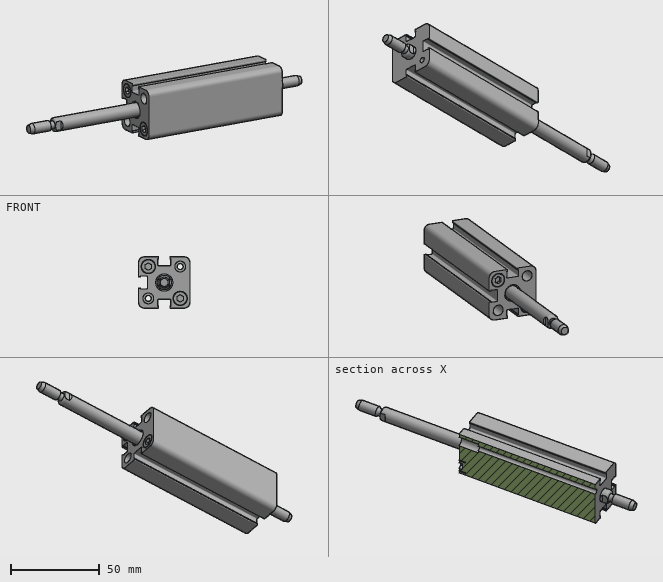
import cadquery as cq
import math

TOTAL_LENGTH = 179.0
BODY_LENGTH = 88.0
STUD_LENGTH = 16.0
REAR_ROD_LENGTH = 4.5
FRONT_ROD_LENGTH = TOTAL_LENGTH - BODY_LENGTH - 2 * STUD_LENGTH - REAR_ROD_LENGTH

REAR_TIP_Y = TOTAL_LENGTH / 2
REAR_ROD_Y = REAR_TIP_Y - STUD_LENGTH
BODY_BACK_Y = REAR_ROD_Y - REAR_ROD_LENGTH
BODY_FRONT_Y = BODY_BACK_Y - BODY_LENGTH
FRONT_ROD_Y = BODY_FRONT_Y - FRONT_ROD_LENGTH

BODY_WIDTH = 29.0
CORNER_RADIUS = 3.4

SLOT_DEPTH = 5.0
SLOT_WIDTH = 7.2
MOUTH_WIDTH = 6.3
LIP_THICKNESS = 1.3
LIP_EDGE_RADIUS = 0.4
SLOT_FLOOR_RADIUS = 0.5
SLOT_TURNS = (0, 90, 180)

CORNER_OFFSET = 9.0
THREAD_DIAMETER = 6.0
THREAD_DEPTH = 12.4
THROUGH_DIAMETER = 3.2
SCREW_POCKET_DIAMETER = 8.0
SCREW_POCKET_DEPTH = 4.0
SCREW_HEAD_DIAMETER = 7.5
HEX_CORNER_DIAMETER = 4.1
HEX_DEPTH = 2.0

ROD_DIAMETER = 8.0
ROD_END_RADIUS = 1.5
ROD_RECESS_DIAMETER = 9.7
ROD_RECESS_DEPTH = 1.0
NECK_ROOT_DIAMETER = 4.8
NECK_WAIST_DIAMETER = 4.5
NECK_LENGTH = 2.9
NECK_WAIST_DISTANCE = 1.6
STUD_DIAMETER = 6.0
TIP_DIAMETER = 4.5
TIP_LENGTH = 2.3

FLAT_WIDTH = 6.0
FLAT_LENGTH = 3.4
FLAT_RUNOUT = (ROD_DIAMETER - FLAT_WIDTH) / 2


def cylinder(diameter, start_y, length, x=0.0, z=0.0):
    """Solid cylinder along +Y starting at start_y."""
    return cq.Workplane(
        cq.Solid.makeCylinder(diameter / 2, length, cq.Vector(x, start_y, z), cq.Vector(0, 1, 0))
    )


def profile_plane(y):
    """Sketch plane at y whose local axes are X and Z; positive extrusion runs to -Y."""
    return cq.Workplane("XZ", origin=(0, y, 0))


def make_slot():
    """Cutter for the slot in the +Z side of the body."""
    half_width = BODY_WIDTH / 2
    channel_height = SLOT_DEPTH - LIP_THICKNESS
    channel = (
        profile_plane(BODY_BACK_Y)
        .center(0, half_width - SLOT_DEPTH + channel_height / 2)
        .rect(SLOT_WIDTH, channel_height)
        .extrude(BODY_LENGTH)
        .edges("|Y and <Z")
        .fillet(SLOT_FLOOR_RADIUS)
    )
    half_mouth = MOUTH_WIDTH / 2
    lip_bottom = half_width - LIP_THICKNESS
    round_start = half_width - LIP_EDGE_RADIUS
    mouth = (
        profile_plane(BODY_BACK_Y)
        .moveTo(-half_mouth - LIP_EDGE_RADIUS, half_width)
        .radiusArc((-half_mouth, round_start), LIP_EDGE_RADIUS)
        .lineTo(-half_mouth, lip_bottom)
        .lineTo(half_mouth, lip_bottom)
        .lineTo(half_mouth, round_start)
        .radiusArc((half_mouth + LIP_EDGE_RADIUS, half_width), LIP_EDGE_RADIUS)
        .close()
        .extrude(BODY_LENGTH)
    )
    return channel.union(mouth)


def make_body():
    """Square extrusion with rounded corners, three slots and a front rod recess."""
    body = (
        profile_plane(BODY_BACK_Y)
        .rect(BODY_WIDTH, BODY_WIDTH)
        .extrude(BODY_LENGTH)
        .edges("|Y")
        .fillet(CORNER_RADIUS)
    )
    slot = make_slot()
    for turn in SLOT_TURNS:
        body = body.cut(slot.rotate((0, 0, 0), (0, 1, 0), -turn))
    return body.cut(cylinder(ROD_RECESS_DIAMETER, BODY_FRONT_Y, ROD_RECESS_DEPTH))


def add_threaded_hole(body, x, z):
    """Wide hole in the front face continuing as a small hole through the body."""
    body = body.cut(cylinder(THREAD_DIAMETER, BODY_FRONT_Y, THREAD_DEPTH, x, z))
    return body.cut(cylinder(THROUGH_DIAMETER, BODY_FRONT_Y, BODY_LENGTH, x, z))


def add_screw(body, x, z):
    """Socket screw head seated flush in a round pocket of the front face."""
    body = body.cut(cylinder(SCREW_POCKET_DIAMETER, BODY_FRONT_Y, SCREW_POCKET_DEPTH, x, z))
    head = cylinder(SCREW_HEAD_DIAMETER, BODY_FRONT_Y, SCREW_POCKET_DEPTH, x, z)
    socket = (
        profile_plane(BODY_FRONT_Y)
        .center(x, z)
        .transformed(rotate=(0, 0, 90))
        .polygon(6, HEX_CORNER_DIAMETER)
        .extrude(-HEX_DEPTH)
    )
    return body.union(head.cut(socket))


def make_rod_end():
    """Rod end pointing to -Y, its full diameter ending at y = 0 and the stud beyond it."""
    rod_radius = ROD_DIAMETER / 2
    stud_radius = STUD_DIAMETER / 2
    shank_length = FLAT_LENGTH + FLAT_RUNOUT
    round_step = ROD_END_RADIUS * math.sqrt(0.5)
    round_centre = (rod_radius - ROD_END_RADIUS, ROD_END_RADIUS)
    end = (
        cq.Workplane("XY")
        .moveTo(0, shank_length)
        .lineTo(rod_radius, shank_length)
        .lineTo(rod_radius, ROD_END_RADIUS)
        .threePointArc(
            (round_centre[0] + round_step, round_centre[1] - round_step),
            (round_centre[0], 0),
        )
        .lineTo(NECK_ROOT_DIAMETER / 2, 0)
        .threePointArc(
            (NECK_WAIST_DIAMETER / 2, -NECK_WAIST_DISTANCE),
            (stud_radius, -NECK_LENGTH),
        )
        .lineTo(stud_radius, TIP_LENGTH - STUD_LENGTH)
        .lineTo(TIP_DIAMETER / 2, -STUD_LENGTH)
        .lineTo(0, -STUD_LENGTH)
        .close()
        .revolve(360, (0, 0, 0), (0, 1, 0))
    )
    flat = (
        cq.Workplane("XY")
        .moveTo(FLAT_WIDTH / 2, 0)
        .lineTo(FLAT_WIDTH / 2, FLAT_LENGTH)
        .lineTo(rod_radius, shank_length)
        .lineTo(rod_radius, 0)
        .close()
        .extrude(rod_radius, both=True)
    )
    return end.cut(flat).cut(flat.mirror("YZ"))


def make_rod():
    """Through rod with an identical stud at each end."""
    shank_length = FLAT_LENGTH + FLAT_RUNOUT
    front_y = FRONT_ROD_Y + shank_length
    shank = cylinder(ROD_DIAMETER, front_y, REAR_ROD_Y - shank_length - front_y)
    end = make_rod_end()
    front_end = end.translate((0, FRONT_ROD_Y, 0))
    rear_end = end.mirror("XZ").translate((0, REAR_ROD_Y, 0))
    return shank.union(front_end).union(rear_end)


body = make_body()
for side in (1, -1):
    body = add_threaded_hole(body, side * CORNER_OFFSET, side * CORNER_OFFSET)
    body = add_screw(body, -side * CORNER_OFFSET, side * CORNER_OFFSET)

result = body.union(make_rod())